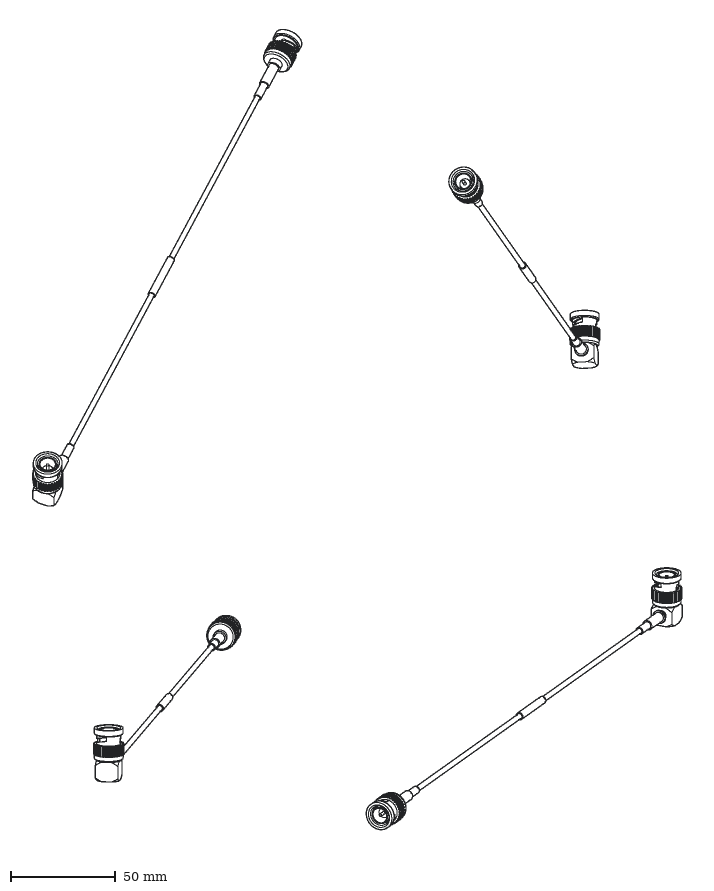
import cadquery as cq
import math


total_length = 306.5
total_height = 27.0
knurl_diameter = 14.5
plug_length = 15.5
plug_top = total_height - knurl_diameter / 2
straight_front = total_length / 2
straight_rear = straight_front - plug_length
elbow_axis = -total_length / 2 + knurl_diameter / 2

rim_diameter = 13.8
rim_length = 3.0
barrel_diameter = 11.5
barrel_length = 4.5
knurl_length = 5.2
knurl_root_diameter = 13.5
knurl_teeth = 32
rim_chamfer = 0.45
rear_chamfer = 0.77
barrel_rear = plug_length - rim_length - barrel_length
knurl_rear = barrel_rear - knurl_length

bore_diameter = 9.8
bore_floor = 3.0
mouth_chamfer = 0.77
contact_outer_diameter = 8.3
contact_inner_diameter = 7.5
contact_setback = 1.0
insulator_diameter = 5.0
insulator_setback = 5.0
pin_diameter = 1.35
pin_setback = 1.5

slot_count = 2
slot_width = 1.8
slot_rise = 1.8
slot_turn = 90.0
detent_diameter = 2.6
slot_center_height = barrel_rear + barrel_length / 2

elbow_width = 11.0
elbow_bottom = -elbow_width / 2
elbow_top = plug_top - plug_length
elbow_back = elbow_axis + elbow_width / 2
elbow_corner_trim = 1.8

cable_diameter = 2.6
sleeve_diameter = 3.7
ferrule_diameter = 5.0
collar_diameter = 6.5
straight_collar_length = 2.8
elbow_collar_length = 1.0
straight_neck_length = 0.0
elbow_neck_length = 1.8
ferrule_length = 12.0
boot_length = 8.3
label_center = -5.0
label_length = 24.0


def cylinder(diameter, start, length):
    """Upright cylinder standing on height `start`."""
    return cq.Workplane("XY").workplane(offset=start).circle(diameter / 2).extrude(length)


def cable_cylinder(diameter, start, length):
    """Cylinder on the cable axis; a negative length runs towards -Y."""
    return cq.Workplane(cq.Plane((0, start, 0), (1, 0, 0), (0, 1, 0))).circle(diameter / 2).extrude(length)


def knurled_band():
    """Ring of straight, flat-topped teeth around the coupling nut."""
    quarter_pitch = math.pi / (2 * knurl_teeth)
    tip = knurl_diameter / 2
    root = knurl_root_diameter / 2
    points = []
    for tooth in range(knurl_teeth):
        for step, radius in enumerate((tip, tip, root, root)):
            angle = (4 * tooth + step - 0.5) * quarter_pitch
            points.append((radius * math.cos(angle), radius * math.sin(angle)))
    return cq.Workplane("XY").workplane(offset=knurl_rear).polyline(points).close().extrude(knurl_length)


def bayonet_slot():
    """Right-handed helical slot through the barrel wall, ending in a round detent at the rear."""
    wall_radius = (barrel_diameter + bore_diameter) / 4
    wall_thickness = (barrel_diameter - bore_diameter) / 2
    cutter_depth = 2 * wall_thickness
    start_height = slot_center_height - slot_rise / 2
    helix = cq.Wire.makeHelix(slot_rise * 360 / slot_turn, slot_rise, wall_radius)
    slot = (
        cq.Workplane("XZ")
        .center(wall_radius, 0)
        .rect(cutter_depth, slot_width)
        .sweep(cq.Workplane(helix), isFrenet=True)
        .translate((0, 0, start_height))
    )
    detent = (
        cq.Workplane("YZ", origin=(wall_radius - wall_thickness, 0, start_height))
        .circle(detent_diameter / 2)
        .extrude(cutter_depth)
    )
    return slot.union(detent)


def plug():
    """BNC plug standing on its rear face at the origin, mating end up."""
    inner_height = plug_length - bore_floor
    rim_start = plug_length - rim_length
    body = cylinder(rim_diameter, 0, knurl_rear).faces("<Z").chamfer(rear_chamfer)
    body = body.union(knurled_band())
    body = body.union(cylinder(barrel_diameter, barrel_rear, barrel_length))
    body = body.union(cylinder(rim_diameter, rim_start, rim_length).faces("<Z").chamfer(rim_chamfer))
    body = body.cut(cylinder(bore_diameter, bore_floor, inner_height))
    body = body.faces(">Z").edges(cq.selectors.RadiusNthSelector(0)).chamfer(mouth_chamfer)

    for index in range(slot_count):
        turn = 180 + index * 360 / slot_count
        body = body.cut(bayonet_slot().rotate((0, 0, 0), (0, 0, 1), turn))

    contact = cylinder(contact_outer_diameter, bore_floor, inner_height - contact_setback)
    contact = contact.cut(cylinder(contact_inner_diameter, bore_floor, inner_height))
    insulator = cylinder(insulator_diameter, bore_floor, inner_height - insulator_setback)
    pin = cylinder(pin_diameter, bore_floor, inner_height - pin_setback)
    return body.union(contact).union(insulator).union(pin)


def elbow_body():
    """Square block whose corners are trimmed at both ends by 45 degree cones about the plug axis."""
    height = elbow_top - elbow_bottom
    block = cq.Workplane("XY").workplane(offset=elbow_bottom).rect(elbow_width, elbow_width).extrude(height)
    envelope = cylinder(elbow_width * math.sqrt(2), elbow_bottom, height)
    envelope = envelope.faces("<Z or >Z").chamfer(elbow_corner_trim)
    return block.intersect(envelope).translate((0, elbow_axis, 0))


def cable_termination(start, neck_length, collar_length, direction):
    """Ferrule running from a plug's rear face over neck and collar, followed by the boot sleeve."""
    collar_start = start + direction * neck_length
    crimp_length = neck_length + collar_length + ferrule_length
    boot_start = start + direction * crimp_length
    ferrule = cable_cylinder(ferrule_diameter, start, direction * crimp_length)
    collar = cable_cylinder(collar_diameter, collar_start, direction * collar_length)
    boot = cable_cylinder(sleeve_diameter, boot_start, direction * boot_length)
    return ferrule.union(collar).union(boot)


straight_plane = cq.Plane((0, straight_rear, 0), (0, 0, 1), (0, 1, 0))
elbow_plane = cq.Plane((0, elbow_axis, elbow_top), (1, 0, 0), (0, 0, 1))

cable = cable_cylinder(cable_diameter, elbow_back, straight_rear - elbow_back)
label = cable_cylinder(sleeve_diameter, label_center - label_length / 2, label_length)

assembly = cable.union(label)
assembly = assembly.union(cable_termination(straight_rear, straight_neck_length, straight_collar_length, -1))
assembly = assembly.union(cable_termination(elbow_back, elbow_neck_length, elbow_collar_length, 1))
assembly = assembly.union(elbow_body())
for plane in (straight_plane, elbow_plane):
    placed_plug = cq.Workplane(plug().val().moved(cq.Location(plane)))
    assembly = assembly.union(placed_plug)

result = cq.Workplane(assembly.solids().val())